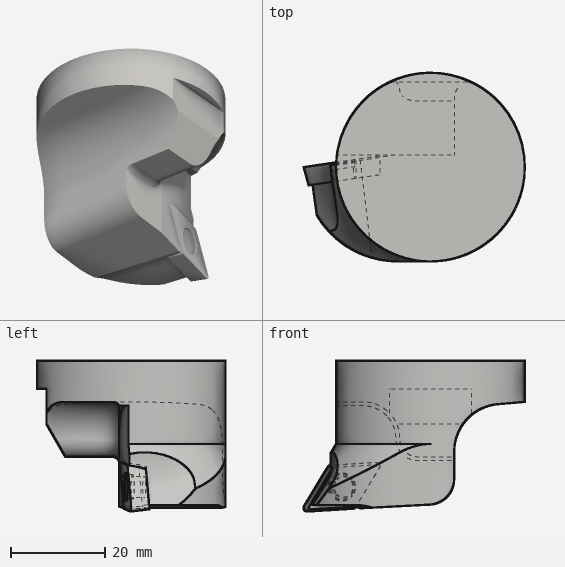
import cadquery as cq
import math

shank_radius = 20.0
flare_start_depth = 17.66
flare_angle = 30.0
nose_offset = 6.85
blank_depth = 36.0
reach = 60.0

neck_x = 5.05
shoulder_radius = 10.0
shoulder_slope = 5.0
shoulder_edge_depth = 8.77
heel_radius = 5.5
bottom_slope = 3.0
bottom_depth_at_axis = 30.53

back_flat_y = 18.0
back_flat_depth = 6.0
back_chamfer_depth = 13.4
back_chamfer_angle = 30.0

gullet_roof_depth = 8.74
gullet_roof_radius = 7.8
gullet_wall_x = -6.5
gullet_lip_depth = 20.4
gullet_floor_y = 2.6
gullet_corner_radius = 1.66
gullet_corner_start_y = 4.03
rake_step = 0.83
rake_angle = 9.0
rake_y_at_shank = 0.6

relief_angle = 7.8
relief_radius = 8.8
flank_slope = 59.0
flank_arc_x = -20.9
flank_arc_depth = 20.9
underside_depth = 30.6
underside_arc_x = -18.0

insert_circle = 9.525
insert_corner_angle = 55.0
insert_thickness = 3.97
insert_clearance = 7.0
insert_corner_radius = 0.8
insert_edge_slope = 3.5
insert_rake_angle = 8.4
insert_min_x = -26.87
insert_max_depth = 32.0

screw_diameter = 4.4
screw_head_diameter = 5.25
screw_head_seat_depth = 1.5
screw_recess = 0.25
screw_hole_mouth = 5.95
screw_hole_taper = 30.0



def sin(degrees):
    return math.sin(math.radians(degrees))


def cos(degrees):
    return math.cos(math.radians(degrees))


def tan(degrees):
    return math.tan(math.radians(degrees))


def xz_prism(outline, y_start, y_end):
    """Extrude a closed XZ wire sketch, drawn at y = 0, between two y values."""
    return outline.extrude(y_start - y_end).translate((0, y_start, 0))


def blank():
    """Round shank, with a flared lower part held inside a stretched round outline."""
    shank = cq.Workplane("XY").circle(shank_radius).extrude(-blank_depth)
    flare_length = blank_depth - flare_start_depth
    flare_end_radius = shank_radius + flare_length * tan(flare_angle)
    flare = cq.Workplane("XY").add(
        cq.Solid.makeCone(
            shank_radius,
            flare_end_radius,
            flare_length,
            pnt=cq.Vector(0, 0, -flare_start_depth),
            dir=cq.Vector(0, 0, -1),
        )
    )
    stretched = (
        cq.Workplane("XY")
        .center(-nose_offset / 2, 0)
        .slot2D(2 * shank_radius + nose_offset, 2 * shank_radius)
        .extrude(-blank_depth)
    )
    return shank.union(flare.intersect(stretched))


def side_outline():
    """Prism kept after shaping the +X shoulder, the neck and the sloping bottom."""
    def underside_z(x):
        return -shoulder_edge_depth + (x - shank_radius) * tan(shoulder_slope)

    def bottom_z(x):
        return -bottom_depth_at_axis + x * tan(bottom_slope)

    shoulder_x = neck_x + shoulder_radius
    shoulder_z = underside_z(shoulder_x) - shoulder_radius / cos(shoulder_slope)
    shoulder_start = 90 + shoulder_slope
    shoulder_mid = (180 + shoulder_start) / 2
    heel_x = neck_x - heel_radius
    heel_z = bottom_z(heel_x) + heel_radius / cos(bottom_slope)
    heel_mid = (bottom_slope - 90) / 2
    outline = (
        cq.Workplane("XZ")
        .moveTo(-reach, 0)
        .lineTo(reach, 0)
        .lineTo(reach, underside_z(reach))
        .lineTo(
            shoulder_x + shoulder_radius * cos(shoulder_start),
            shoulder_z + shoulder_radius * sin(shoulder_start),
        )
        .threePointArc(
            (
                shoulder_x + shoulder_radius * cos(shoulder_mid),
                shoulder_z + shoulder_radius * sin(shoulder_mid),
            ),
            (neck_x, shoulder_z),
        )
        .lineTo(neck_x, heel_z)
        .threePointArc(
            (heel_x + heel_radius * cos(heel_mid), heel_z + heel_radius * sin(heel_mid)),
            (heel_x + heel_radius * sin(bottom_slope), heel_z - heel_radius * cos(bottom_slope)),
        )
        .lineTo(-reach, bottom_z(-reach))
        .close()
    )
    return xz_prism(outline, -reach, reach)


def back_cut():
    """Flat on the +Y side with a chamfer running down to the gullet lip."""
    chamfer_run = (reach - back_chamfer_depth) * tan(back_chamfer_angle)
    return (
        cq.Workplane("YZ")
        .moveTo(reach, -back_flat_depth)
        .lineTo(back_flat_y, -back_flat_depth)
        .lineTo(back_flat_y, -back_chamfer_depth)
        .lineTo(back_flat_y - chamfer_run, -reach)
        .lineTo(reach, -reach)
        .close()
        .extrude(reach, both=True)
    )


def gullet_outline(step):
    """S-shaped gullet section, moved inward from the gullet walls by step."""
    wall_x = gullet_wall_x - step
    roof_z = -gullet_roof_depth - step
    lip_z = -gullet_lip_depth - step
    roof_radius = gullet_roof_radius - step
    join_z = roof_z - roof_radius
    lip_radius = join_z - lip_z
    return (
        cq.Workplane("XZ")
        .moveTo(-reach, roof_z)
        .lineTo(wall_x - roof_radius, roof_z)
        .threePointArc(
            (wall_x - roof_radius + roof_radius * sin(45), join_z + roof_radius * cos(45)),
            (wall_x, join_z),
        )
        .threePointArc(
            (wall_x + lip_radius - lip_radius * cos(45), join_z - lip_radius * sin(45)),
            (wall_x + lip_radius, lip_z),
        )
        .lineTo(reach, lip_z)
        .lineTo(reach, -reach)
        .lineTo(-reach, -reach)
        .close()
    )


def gullet_cut():
    """Gullet with a rounded floor corner, cut short by its flat floor."""
    rounded_floor_y = gullet_corner_start_y - gullet_corner_radius
    rounded = xz_prism(gullet_outline(0), rounded_floor_y, reach)
    rounded = rounded.faces("<Y").edges().fillet(gullet_corner_radius)
    above_floor = (
        cq.Workplane("XZ", origin=(0, gullet_floor_y, 0))
        .rect(4 * reach, 4 * reach)
        .extrude(-reach)
    )
    return rounded.intersect(above_floor)


def rake_cut():
    """Rake face: everything on the +Y side of a vertical plane, inside the gullet walls."""
    slope = tan(rake_angle)
    rake_end_x = -shank_radius + (gullet_floor_y - rake_y_at_shank) / slope
    rake_start_y = rake_y_at_shank - (reach - shank_radius) * slope
    in_front = (
        cq.Workplane("XY")
        .moveTo(-reach, rake_start_y)
        .lineTo(rake_end_x, gullet_floor_y)
        .lineTo(reach, gullet_floor_y)
        .lineTo(reach, reach)
        .lineTo(-reach, reach)
        .close()
        .extrude(-reach)
    )
    return xz_prism(gullet_outline(rake_step), -reach, reach).intersect(in_front)


def relief_prism(outline):
    """Extrude an XZ section both ways along the relief direction."""
    return outline.extrude(reach, both=True).rotate((0, 0, 0), (0, 0, 1), relief_angle)


def flank_cut():
    """Flat flank beside the insert, running into a concave arc under the flare."""
    center_x = flank_arc_x - relief_radius
    center_z = -flank_arc_depth
    tangent_angle = flank_slope - 90
    tangent_x = center_x + relief_radius * cos(tangent_angle)
    tangent_z = center_z + relief_radius * sin(tangent_angle)
    flank_length = reach / 2
    return relief_prism(
        cq.Workplane("XZ")
        .moveTo(center_x, center_z + relief_radius)
        .threePointArc(
            (center_x + relief_radius * cos(45), center_z + relief_radius * sin(45)),
            (tangent_x, tangent_z),
        )
        .lineTo(tangent_x - flank_length * cos(flank_slope), tangent_z - flank_length * sin(flank_slope))
        .lineTo(-reach, center_z)
        .close()
    )


def underside_cut():
    """Shallow relief under the body beside the insert, with an arched end."""
    ceiling_z = -underside_depth
    return relief_prism(
        cq.Workplane("XZ")
        .moveTo(-reach, ceiling_z)
        .lineTo(underside_arc_x, ceiling_z)
        .threePointArc(
            (underside_arc_x + relief_radius * sin(45), ceiling_z - relief_radius * (1 - cos(45))),
            (underside_arc_x + relief_radius, ceiling_z - relief_radius),
        )
        .lineTo(-reach, ceiling_z - relief_radius)
        .close()
    )


nose_center = (
    insert_min_x + insert_corner_radius * cos(insert_rake_angle),
    insert_corner_radius * sin(insert_rake_angle),
    insert_corner_radius - insert_max_depth,
)
insert_plane = cq.Plane(
    origin=nose_center,
    xDir=(cos(insert_rake_angle), sin(insert_rake_angle), 0),
    normal=(sin(insert_rake_angle), -cos(insert_rake_angle), 0),
)
bisector_angle = insert_edge_slope + insert_corner_angle / 2
side_length = insert_circle / sin(insert_corner_angle)
center_from_nose = (insert_circle / 2 - insert_corner_radius) / sin(insert_corner_angle / 2)
insert_center = (center_from_nose * cos(bisector_angle), center_from_nose * sin(bisector_angle))


def insert_outline():
    """Rounded rhombus of the insert's top face, its lower left corner arc centred on the origin."""
    long_half = side_length * cos(insert_corner_angle / 2)
    short_half = side_length * sin(insert_corner_angle / 2)
    rhombus = (
        cq.Sketch()
        .polygon([(long_half, 0), (0, short_half), (-long_half, 0), (0, -short_half), (long_half, 0)])
        .vertices()
        .fillet(insert_corner_radius)
    )
    turned = rhombus.moved(cq.Location(cq.Vector(*insert_center), cq.Vector(0, 0, 1), bisector_angle))
    return cq.Workplane(insert_plane).placeSketch(turned)


def screw_disc(diameter, start, end, taper=0):
    """Disc about the screw axis between two depths below the insert's top face."""
    return (
        cq.Workplane(insert_plane)
        .center(*insert_center)
        .workplane(offset=start)
        .circle(diameter / 2)
        .extrude(end - start, taper=taper)
    )


def screw_hole():
    """Stepped hole through the insert: conical mouth, head shoulder and shank."""
    mouth_depth = (screw_hole_mouth - screw_head_diameter) / 2 / tan(screw_hole_taper)
    mouth = screw_disc(screw_hole_mouth, 0, mouth_depth, screw_hole_taper)
    head = screw_disc(screw_head_diameter, 0, screw_head_seat_depth)
    return mouth.union(head).union(screw_disc(screw_diameter, 0, insert_thickness))


def screw():
    """Screw that fills its hole up to just below the insert's top face."""
    return screw_hole().cut(screw_disc(2 * screw_hole_mouth, 0, screw_recess))


insert_blank = insert_outline().extrude(insert_thickness, taper=insert_clearance)
insert_access = insert_outline().extrude(-insert_thickness)

holder = blank().intersect(side_outline())
body_cuts = [back_cut(), gullet_cut(), rake_cut(), flank_cut(), underside_cut()]
for cutter in body_cuts + [insert_blank, insert_access]:
    holder = holder.cut(cutter)
holder = holder.union(screw())

insert = insert_blank.cut(screw_hole())

result = cq.Compound.makeCompound([holder.val(), insert.val()])